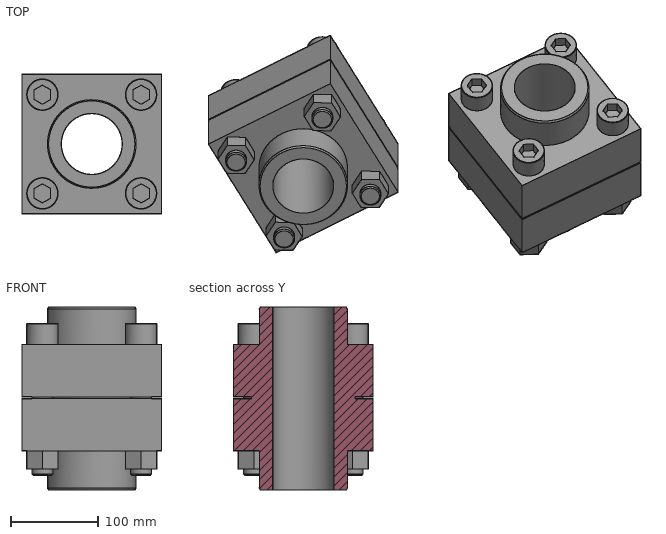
import cadquery as cq
import math

total_height = 210.0
flange_width = 160.0
flange_thickness = 60.0
lower_neck_length = 45.0
raised_face_height = 2.0
raised_face_diameter = 119.0

neck_diameter = 101.6
bore_diameter = 69.6
neck_chamfer_length = 2.4
neck_chamfer_angle = 30.0

bolt_circle_diameter = 160.0
bolt_diameter = 24.0
bolt_end_chamfer = 1.5
bolt_end_protrusion = 7.0
head_diameter = 36.0
head_height = 24.0
head_chamfer = 0.5
socket_across_flats = 19.0
socket_depth = 12.0
nut_across_flats = 36.0
nut_height = 21.0

lower_flange_top = lower_neck_length + flange_thickness
upper_flange_bottom = lower_flange_top + raised_face_height
upper_flange_top = upper_flange_bottom + flange_thickness
nut_bottom = lower_neck_length - nut_height
bolt_bottom = nut_bottom - bolt_end_protrusion
head_top = upper_flange_top + head_height
bolt_offset = bolt_circle_diameter / 2 * math.cos(math.radians(45))


def cylinder(diameter, bottom, top):
    return cq.Workplane("XY").workplane(offset=bottom).circle(diameter / 2).extrude(top - bottom)


def hexagon(across_flats, bottom, top):
    """Hexagonal prism with two flats facing +X and -X and corners on the Y axis."""
    corner_diameter = across_flats / math.cos(math.radians(30))
    prism = cq.Workplane("XY").workplane(offset=bottom).polygon(6, corner_diameter).extrude(top - bottom)
    return prism.rotate((0, 0, 0), (0, 0, 1), 90)


def flange_block(bottom):
    return (
        cq.Workplane("XY")
        .workplane(offset=bottom)
        .rect(flange_width, flange_width)
        .extrude(flange_thickness)
    )


def pipe():
    """Cylinder through both flanges, bevelled at its two ends."""
    radius = neck_diameter / 2
    bevelled_radius = radius - neck_chamfer_length * math.tan(math.radians(neck_chamfer_angle))
    profile = [
        (0, 0),
        (bevelled_radius, 0),
        (radius, neck_chamfer_length),
        (radius, total_height - neck_chamfer_length),
        (bevelled_radius, total_height),
        (0, total_height),
    ]
    return cq.Workplane("XZ").polyline(profile).close().revolve(360, (0, 0), (0, 1))


def bolt():
    """Socket-head screw and its nut, on the Z axis."""
    shank = cylinder(bolt_diameter, bolt_bottom, upper_flange_top)
    shank = shank.faces("<Z").chamfer(bolt_end_chamfer)
    head = cylinder(head_diameter, upper_flange_top, head_top)
    head = head.faces(">Z").chamfer(head_chamfer)
    socket = hexagon(socket_across_flats, head_top - socket_depth, head_top)
    nut = hexagon(nut_across_flats, nut_bottom, lower_neck_length)
    return shank.union(head).union(nut).cut(socket)


body = flange_block(lower_neck_length).union(flange_block(upper_flange_bottom))
body = body.union(cylinder(raised_face_diameter, lower_flange_top, upper_flange_bottom))
body = body.union(pipe())
body = body.cut(cylinder(bore_diameter, 0, total_height))

for x_side in (-1, 1):
    for y_side in (-1, 1):
        body = body.union(bolt().translate((x_side * bolt_offset, y_side * bolt_offset, 0)))

result = body